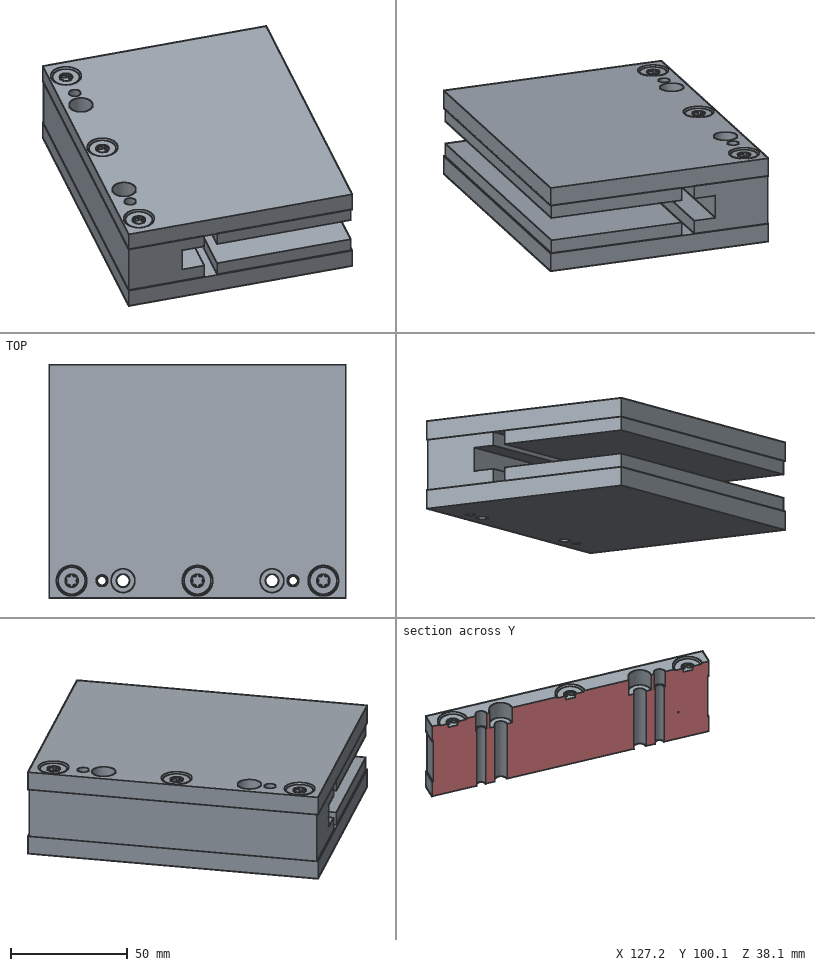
import cadquery as cq
import math

LENGTH = 127.2
WIDTH = 100.1
HEIGHT = 38.1
PLATE_THICKNESS = 8.1

EDGE_INSET = 0.5
FRONT_INSET = 0.1
SLAT_THICKNESS = 5.8
SLAT_INNER_Y = 39.7
GROOVE_FRONT_Y = 34.0
SLOT_FLOOR_Y = 24.2

ROW_Y = 7.5
SCREW_SPACING = 53.9
THREADED_SPACING = 41.0
BOLT_SPACING = 31.9

BOLT_HOLE_DIAMETER = 5.5
BOLT_HEAD_DIAMETER = 10.2
BOLT_HEAD_DEPTH = PLATE_THICKNESS
THREADED_DIAMETER = 5.0
THREADED_CORE_DIAMETER = 4.0

SEAT_DIAMETER = 13.1
HEAD_DIAMETER = 11.6
SEAT_DEPTH = 0.6
SOCKET_DIAMETER = 5.6
SOCKET_WAIST_DIAMETER = 4.1
SOCKET_DEPTH = 1.9
SOCKET_CHAMFER = 0.5
LOBES = 6
LOBE_HALF_ANGLE = 10.0
FIRST_LOBE_ANGLE = 90.0

MID_X = LENGTH / 2
TOP_PLATE_Z = HEIGHT - PLATE_THICKNESS
HEAD_Z = HEIGHT - SEAT_DEPTH


def block(x_range, y_range, z_range):
    """Box between the given (low, high) limits on each axis."""
    (x0, x1), (y0, y1), (z0, z1) = x_range, y_range, z_range
    return cq.Workplane("XY").box(x1 - x0, y1 - y0, z1 - z0, centered=False).translate((x0, y0, z0))


def cylinder(x, diameter, z_low, z_high):
    """Upright cylinder on the hole row."""
    return cq.Workplane("XY", origin=(x, ROW_Y, z_low)).circle(diameter / 2).extrude(z_high - z_low)


def cone(x, z_top, top_diameter, bottom_diameter, depth):
    """Conical recess on the hole row, narrowing downward from z_top."""
    solid = cq.Solid.makeCone(
        top_diameter / 2, bottom_diameter / 2, depth, cq.Vector(x, ROW_Y, z_top), cq.Vector(0, 0, -1)
    )
    return cq.Workplane(obj=solid)


def polar(radius, degrees):
    """Cartesian point at the given radius and angle."""
    angle = math.radians(degrees)
    return radius * math.cos(angle), radius * math.sin(angle)


def socket(x):
    """Six-lobed socket with a lobe pointing along Y and a chamfered rim."""
    pitch = 360 / LOBES
    lobe_radius = SOCKET_DIAMETER / 2
    start = polar(lobe_radius, FIRST_LOBE_ANGLE - LOBE_HALF_ANGLE)
    profile = cq.Workplane("XY", origin=(x, ROW_Y, HEAD_Z)).moveTo(*start)
    for lobe in range(LOBES):
        angle = FIRST_LOBE_ANGLE + lobe * pitch
        profile = profile.threePointArc(polar(lobe_radius, angle), polar(lobe_radius, angle + LOBE_HALF_ANGLE))
        profile = profile.threePointArc(
            polar(SOCKET_WAIST_DIAMETER / 2, angle + pitch / 2),
            polar(lobe_radius, angle + pitch - LOBE_HALF_ANGLE),
        )
    lobes = profile.close().extrude(-SOCKET_DEPTH)
    rim = cone(x, HEAD_Z, SOCKET_DIAMETER, SOCKET_DIAMETER - 2 * SOCKET_CHAMFER, SOCKET_CHAMFER)
    return lobes.union(rim)


def body():
    """Two plates joined by a front spacer, with a slat on each plate behind the groove."""
    full_x = (0, LENGTH)
    inner_x = (EDGE_INSET, LENGTH - EDGE_INSET)
    core_z = (PLATE_THICKNESS, TOP_PLATE_Z)
    slat_y = (SLAT_INNER_Y, WIDTH - EDGE_INSET)
    slot_z = (PLATE_THICKNESS + SLAT_THICKNESS, TOP_PLATE_Z - SLAT_THICKNESS)

    spacer = block(inner_x, (FRONT_INSET, GROOVE_FRONT_Y), core_z)
    spacer = spacer.cut(block(full_x, (SLOT_FLOOR_Y, WIDTH), slot_z))
    slats = block(inner_x, slat_y, core_z).cut(block(full_x, (0, WIDTH), slot_z))
    bottom_plate = block(full_x, (0, WIDTH), (0, PLATE_THICKNESS))
    top_plate = block(full_x, (0, WIDTH), (TOP_PLATE_Z, HEIGHT))
    return spacer.union(bottom_plate).union(top_plate).union(slats)


result = body()

for x in (MID_X - SCREW_SPACING, MID_X, MID_X + SCREW_SPACING):
    result = result.cut(cone(x, HEIGHT, SEAT_DIAMETER, HEAD_DIAMETER, SEAT_DEPTH))
    result = result.cut(socket(x))

for side in (-1, 1):
    bolt_x = MID_X + side * BOLT_SPACING
    result = result.cut(cylinder(bolt_x, BOLT_HOLE_DIAMETER, 0, HEIGHT))
    result = result.cut(cylinder(bolt_x, BOLT_HEAD_DIAMETER, HEIGHT - BOLT_HEAD_DEPTH, HEIGHT))

    threaded_x = MID_X + side * THREADED_SPACING
    result = result.cut(cylinder(threaded_x, THREADED_CORE_DIAMETER, 0, HEIGHT))
    result = result.cut(cylinder(threaded_x, THREADED_DIAMETER, TOP_PLATE_Z, HEIGHT))